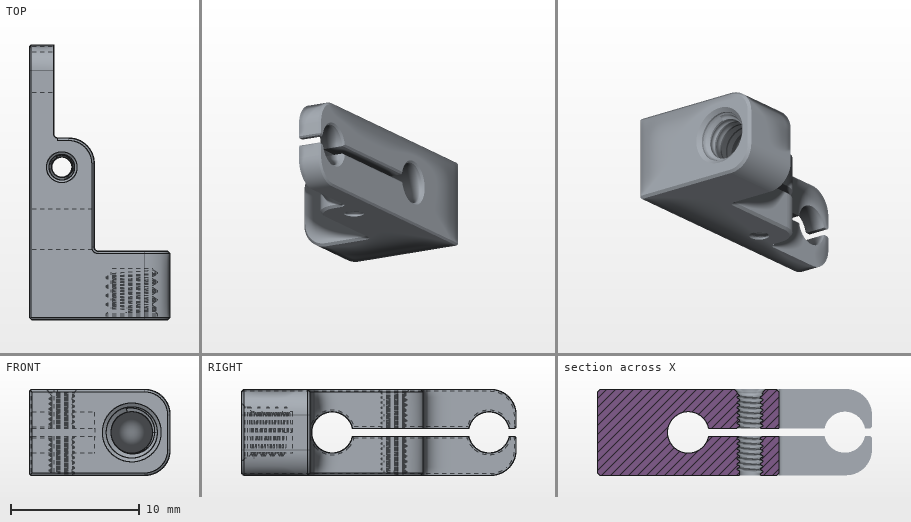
import cadquery as cq
import math

length_x = 11.0
length_y = 21.46
height = 6.73
half_height = height / 2

arm_thickness = 1.92
web_thickness = 5.08
web_end_y = 14.2
foot_depth = 5.37
corner_radius = 2.0
inner_radius = 0.3
edge_chamfer = 0.2

rod_diameter = 3.2
rod_y_positions = (7.1, length_y - 2.12)
slot_width = 0.6
clamp_chamfer = 0.15
mouth_chamfer = 0.12

foot_thread_x = 8.0
foot_thread_diameter = 4.0
foot_thread_pitch = 0.7
foot_thread_depth = 4.0
foot_mouth_diameter = 4.6

clamp_thread_x = web_thickness / 2
clamp_thread_y = 11.92
clamp_thread_diameter = 2.0
clamp_thread_pitch = 0.4
clamp_mouth_diameter = 2.4

minor_reduction = 1.0825
groove_root_width = 1 / 8
groove_overlap = 0.05
relief_length = 1 / 4
flank_angle = math.radians(30)

selection_margin = 0.01


def box_between(low, high):
    """Selector for edges centred inside a box, grown by a small margin."""
    return cq.selectors.BoxSelector(
        tuple(value - selection_margin for value in low),
        tuple(value + selection_margin for value in high),
    )


def fillet_upright_edge(body, x, y, radius):
    """Round the edge along Z that passes through (x, y)."""
    edge = box_between((x, y, -half_height), (x, y, half_height))
    return body.edges("|Z").edges(edge).fillet(radius)


def make_bracket():
    """Stepped bracket with rounded ends and chamfered outer edges."""
    outline = [
        (0, 0),
        (length_x, 0),
        (length_x, foot_depth),
        (web_thickness, foot_depth),
        (web_thickness, web_end_y),
        (arm_thickness, web_end_y),
        (arm_thickness, length_y),
        (0, length_y),
    ]
    body = cq.Workplane("XY").workplane(offset=-half_height).polyline(outline).close().extrude(height)

    body = fillet_upright_edge(body, web_thickness, web_end_y, corner_radius)
    body = fillet_upright_edge(body, web_thickness, foot_depth, inner_radius)
    body = body.faces(">X").edges("|Y").fillet(corner_radius)
    body = body.faces(">Y").edges("|X").fillet(corner_radius)

    body = body.faces("<Y").edges().chamfer(edge_chamfer)
    back_of_web_and_foot = box_between(
        (arm_thickness + inner_radius, foot_depth, -half_height),
        (length_x, web_end_y, half_height),
    )
    body = body.edges(back_of_web_and_foot).chamfer(edge_chamfer)

    return body.union(make_arm_gusset())


def make_arm_gusset():
    """Concave fillet between arm and web; it stays full height, so the web chamfer ends at it."""
    mid_arc = inner_radius * (1 - math.sqrt(0.5))
    seat_y = web_end_y - edge_chamfer
    return (
        cq.Workplane("XY")
        .workplane(offset=-half_height)
        .moveTo(arm_thickness, web_end_y + inner_radius)
        .threePointArc(
            (arm_thickness + mid_arc, web_end_y + mid_arc),
            (arm_thickness + inner_radius, web_end_y),
        )
        .lineTo(arm_thickness + inner_radius, seat_y)
        .lineTo(arm_thickness, seat_y)
        .close()
        .extrude(height)
    )


def make_clamp_opening():
    """Rod holes and the slot joining them, running through along X."""
    slot_start = rod_y_positions[0]
    slot_end = length_y + rod_diameter
    slot = (
        cq.Workplane("YZ")
        .center((slot_start + slot_end) / 2, 0)
        .rect(slot_end - slot_start, slot_width)
        .extrude(length_x)
    )
    rods = (
        cq.Workplane("YZ")
        .pushPoints([(y, 0) for y in rod_y_positions])
        .circle(rod_diameter / 2)
        .extrude(length_x)
    )
    return slot.union(rods)


def cut_clamp(body):
    """Cut the rod holes and slot, then break the slot mouth and the clamp face outline."""
    body = body.cut(make_clamp_opening())
    mouth_edges = box_between(
        (0, length_y, -slot_width / 2),
        (arm_thickness, length_y, slot_width / 2),
    )
    body = body.edges("|X").edges(mouth_edges).chamfer(mouth_chamfer)

    clamp_face_edges = box_between(
        (0, 2 * edge_chamfer, -half_height),
        (0, length_y, half_height),
    )
    return body.faces("<X").edges(clamp_face_edges).chamfer(clamp_chamfer)


def thread_cutter(diameter, pitch, depth, mouth_diameter):
    """Threaded hole with a 45 degree countersink, running down from the origin."""
    major_radius = diameter / 2
    minor_radius = major_radius - minor_reduction * pitch / 2
    mouth_radius = mouth_diameter / 2
    countersink_depth = mouth_radius - major_radius
    relief_end = countersink_depth + relief_length * pitch
    flank_end = relief_end + major_radius - minor_radius

    hole = (
        cq.Workplane("XZ")
        .lineTo(mouth_radius, 0)
        .lineTo(major_radius, -countersink_depth)
        .lineTo(major_radius, -relief_end)
        .lineTo(minor_radius, -flank_end)
        .lineTo(minor_radius, -depth)
        .lineTo(0, -depth)
        .close()
        .revolve(axisStart=(0, 0), axisEnd=(0, 1))
    )

    inner_groove_radius = minor_radius - groove_overlap * pitch
    half_root = groove_root_width * pitch / 2
    half_mouth = half_root + (major_radius - inner_groove_radius) * math.tan(flank_angle)
    helix_height = depth - pitch - countersink_depth
    path = cq.Wire.makeHelix(pitch, helix_height, minor_radius)
    groove = (
        cq.Workplane("XZ")
        .moveTo(inner_groove_radius, -half_mouth)
        .lineTo(major_radius, -half_root)
        .lineTo(major_radius, half_root)
        .lineTo(inner_groove_radius, half_mouth)
        .close()
        .sweep(cq.Workplane(obj=path), isFrenet=True)
        .translate((0, 0, pitch / 2 - depth))
    )
    return hole.union(groove)


def cut_threads(body):
    """Cut the blind foot thread and the through clamping thread."""
    foot_thread = thread_cutter(
        foot_thread_diameter, foot_thread_pitch, foot_thread_depth, foot_mouth_diameter
    )
    foot_thread = foot_thread.rotate((0, 0, 0), (1, 0, 0), 90).translate((foot_thread_x, 0, 0))
    clamp_thread = thread_cutter(
        clamp_thread_diameter, clamp_thread_pitch, height, clamp_mouth_diameter
    )
    clamp_thread = clamp_thread.translate((clamp_thread_x, clamp_thread_y, half_height))
    return body.cut(foot_thread).cut(clamp_thread)


result = cut_threads(cut_clamp(make_bracket()))